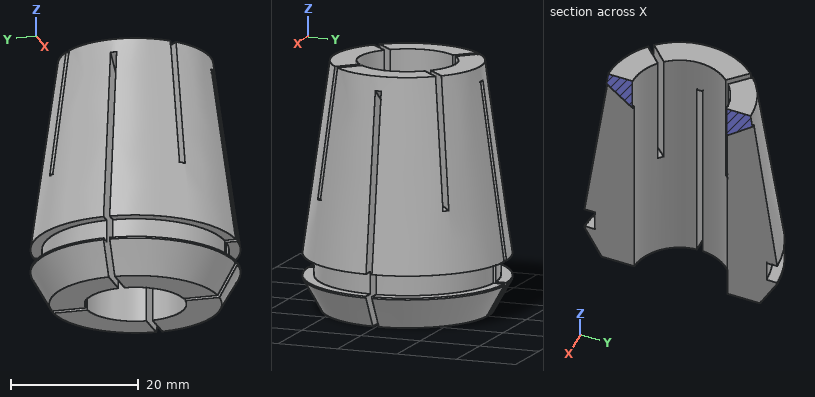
import cadquery as cq

height = 40.0
outer_radius = 33.0 / 2
nose_radius = 12.2
bore_radius = 8.0

bottom_radius = 13.55
rim_bottom = 5.2
groove_bottom = 5.5
groove_top = 9.05
groove_radius = 14.7

slot_width = 1.0
lower_roof_outer = 37.7
lower_roof_bore = 34.1
upper_floor_outer = 18.9
upper_floor_bore = 19.75
overrun = 2.0


def taper_radius(z):
    """Radius of the long outer taper at height z."""
    fraction = (height - z) / (height - groove_top)
    return nose_radius + fraction * (outer_radius - nose_radius)


def make_body():
    """Revolve the tapered wall around the bore."""
    return (
        cq.Workplane("XZ")
        .moveTo(bore_radius, 0)
        .lineTo(bottom_radius, 0)
        .lineTo(outer_radius, rim_bottom)
        .lineTo(outer_radius, groove_bottom)
        .lineTo(groove_radius, groove_bottom)
        .lineTo(groove_radius, groove_top)
        .lineTo(outer_radius, groove_top)
        .lineTo(nose_radius, height)
        .lineTo(bore_radius, height)
        .close()
        .revolve(360, (0, 0, 0), (0, 1, 0))
    )


def make_slot(open_z, outer_z, bore_z):
    """Radial slot along +X, open at open_z, with a sloped end through the wall."""
    slope = (outer_z - bore_z) / (taper_radius(outer_z) - bore_radius)
    inner_x = bore_radius - overrun
    outer_x = outer_radius + overrun
    return (
        cq.Workplane("XZ")
        .moveTo(inner_x, open_z)
        .lineTo(outer_x, open_z)
        .lineTo(outer_x, bore_z + slope * (outer_x - bore_radius))
        .lineTo(inner_x, bore_z + slope * (inner_x - bore_radius))
        .close()
        .extrude(slot_width / 2, both=True)
    )


lower_slot = make_slot(-overrun, lower_roof_outer, lower_roof_bore)
upper_slot = make_slot(height + overrun, upper_floor_outer, upper_floor_bore)

result = make_body()
for angle in range(0, 360, 90):
    result = result.cut(lower_slot.rotate((0, 0, 0), (0, 0, 1), angle))
    result = result.cut(upper_slot.rotate((0, 0, 0), (0, 0, 1), angle + 45))